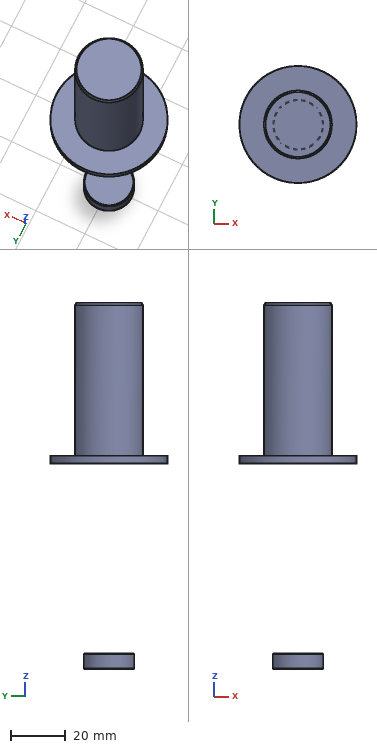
import cadquery as cq

total_height = 134.5

pin_height = 59.0
shank_diameter = 25.0
flange_diameter = 43.0
flange_thickness = 3.0
shank_chamfer_height = 1.0
shank_chamfer_inset = 0.65

disc_diameter = 18.5
disc_thickness = 5.9
disc_chamfer = 0.4

pin_base_z = total_height - pin_height


def make_headed_pin():
    """Shank with a chamfered top end, standing on a thin round flange."""
    flange = (
        cq.Workplane("XY", origin=(0, 0, pin_base_z))
        .circle(flange_diameter / 2)
        .extrude(flange_thickness)
    )
    shank = (
        cq.Workplane("XY", origin=(0, 0, pin_base_z))
        .circle(shank_diameter / 2)
        .extrude(pin_height)
        .faces(">Z")
        .chamfer(shank_chamfer_height, shank_chamfer_inset)
    )
    return flange.union(shank)


def make_disc():
    """Round disc with both rims chamfered."""
    return (
        cq.Workplane("XY")
        .circle(disc_diameter / 2)
        .extrude(disc_thickness)
        .faces("<Z or >Z")
        .chamfer(disc_chamfer)
    )


headed_pin = make_headed_pin()
disc = make_disc()

result = cq.Compound.makeCompound([headed_pin.val(), disc.val()])